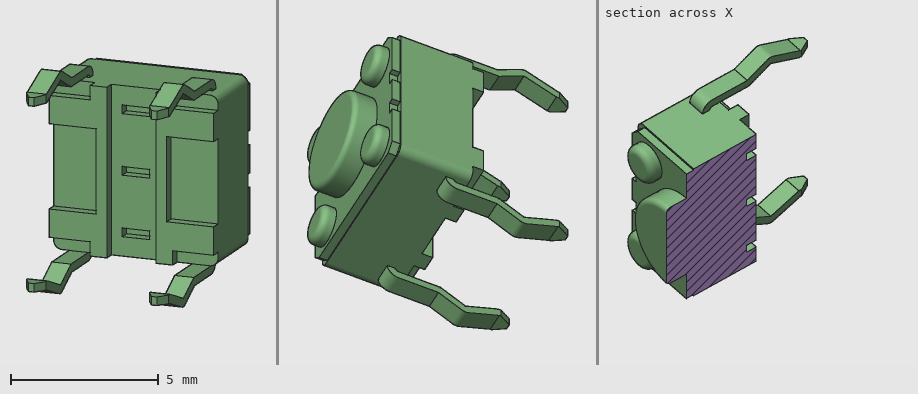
import cadquery as cq
import math


body_size = 6.0
body_depth = 3.12
body_corner_radius = 0.305

recess_depth = 0.405
channel_width = 1.79
side_recess_width = 1.715
side_recess_height = 2.995
corner_recess_width = 1.5
corner_recess_height = 0.51

slot_width = 1.0
slot_height = 0.305
slot_depth = 0.4
slot_spacing = 2.16

cover_size = 5.88
cover_thickness = 0.305
cover_chamfer = 0.305
notch_height = 0.51
notch_depth = 0.2
notch_spacing = 1.5
cover_top = body_depth + cover_thickness

overall_depth = 7.8
lead_reach = 3.5
button_diameter = 3.6
button_height = overall_depth - lead_reach - cover_top
button_fillet = 0.195
boss_diameter = 1.42
boss_height = 0.48
boss_fillet = 0.25
boss_offset = 2.03

lead_width = 0.7
lead_thickness = 0.305
lead_offset = 2.24
lead_inner_z = 3.11
lead_root_y = 0.79
root_inner_radius = 0.13
root_embed = 0.155
bend_y = -0.78
crest_y = -1.72
crest_inner_z = overall_depth / 2 - lead_thickness
foot_y = -2.94
foot_inner_z = 3.135
tip_width = 0.2
tip_length = 0.445


def block(width, depth, height, x, y, z):
    """Box centred on x and z, running from y toward +Y."""
    return cq.Workplane("XY").box(width, depth, height).translate((x, y + depth / 2, z))


def pin(diameter, height, fillet, x, z):
    """Round post on the cover plate with a rounded rim."""
    post = cq.Workplane("XZ").circle(diameter / 2).extrude(-height)
    return post.faces(">Y").edges().fillet(fillet).translate((x, cover_top, z))


def make_body():
    body = block(body_size, body_depth, body_size, 0, 0, 0)
    body = body.edges("|Y").fillet(body_corner_radius)

    body = body.cut(block(channel_width, recess_depth, body_size, 0, 0, 0))
    for row in (-1, 0, 1):
        body = body.cut(block(slot_width, slot_depth, slot_height, 0, recess_depth, row * slot_spacing))

    side_x = (body_size - side_recess_width) / 2
    corner_x = (body_size - corner_recess_width) / 2
    corner_z = (body_size - corner_recess_height) / 2
    for side in (-1, 1):
        body = body.cut(block(side_recess_width, recess_depth, side_recess_height, side * side_x, 0, 0))
        for end in (-1, 1):
            corner = block(corner_recess_width, recess_depth, corner_recess_height,
                           side * corner_x, 0, end * corner_z)
            body = body.cut(corner)
    return body


def make_cover():
    cover = block(cover_size, cover_thickness, cover_size, 0, body_depth, 0)
    cover = cover.edges("|Y").chamfer(cover_chamfer)
    notch_x = (cover_size - notch_depth) / 2
    for side in (-1, 1):
        for end in (-1, 1):
            notch = block(notch_depth, cover_thickness, notch_height,
                          side * notch_x, body_depth, end * notch_spacing / 2)
            cover = cover.cut(notch)
    return cover


def slope(start, end):
    """Angle of the line from start to end, measured as it runs toward -Y."""
    return math.atan2(end[1] - start[1], start[0] - end[0])


def on_outer_face(point, angle_before, angle_after):
    """Mitred point on the outer lead face opposite a bend on the inner face."""
    middle = (angle_before + angle_after) / 2
    reach = lead_thickness / math.cos((angle_after - angle_before) / 2)
    return (point[0] + reach * math.sin(middle), point[1] + reach * math.cos(middle))


def crest_point(angle):
    """Point on the rounded outer crest, with the angle measured from +Z toward +Y."""
    return (crest_y + lead_thickness * math.sin(angle), crest_inner_z + lead_thickness * math.cos(angle))


def make_lead():
    """Lead on the +Z side, centred on X = 0."""
    bend = (bend_y, lead_inner_z)
    crest = (crest_y, crest_inner_z)
    foot = (foot_y, foot_inner_z)
    tip = (-lead_reach, lead_inner_z)
    rise = slope(bend, crest)
    fall = slope(crest, foot)
    tip_slope = slope(foot, tip)

    root_outer_radius = root_inner_radius + lead_thickness
    root_center_z = lead_inner_z - root_inner_radius
    root_end_z = body_size / 2 - root_embed
    lead_outer_z = lead_inner_z + lead_thickness
    root_inner_y = lead_root_y + root_inner_radius
    root_outer_y = lead_root_y + root_outer_radius
    diagonal = math.sqrt(0.5)

    def root_middle(radius):
        return (lead_root_y + radius * diagonal, root_center_z + radius * diagonal)

    profile = (
        cq.Workplane("YZ")
        .moveTo(root_inner_y, root_end_z)
        .lineTo(root_inner_y, root_center_z)
        .threePointArc(root_middle(root_inner_radius), (lead_root_y, lead_inner_z))
        .lineTo(*bend)
        .lineTo(*crest)
        .lineTo(*foot)
        .lineTo(*tip)
        .lineTo(-lead_reach, lead_inner_z + lead_thickness / math.cos(tip_slope))
        .lineTo(*on_outer_face(foot, fall, tip_slope))
        .lineTo(*crest_point(fall))
        .threePointArc(crest_point(0), crest_point(rise))
        .lineTo(*on_outer_face(bend, 0, rise))
        .lineTo(lead_root_y, lead_outer_z)
        .threePointArc(root_middle(root_outer_radius), (root_outer_y, root_center_z))
        .lineTo(root_outer_y, root_end_z)
        .close()
    )
    strip = profile.extrude(lead_width / 2, both=True)

    taper_y = tip_length - lead_reach
    outline = (
        cq.Workplane("XY")
        .polyline([
            (-lead_width / 2, root_outer_y),
            (-lead_width / 2, taper_y),
            (-tip_width / 2, -lead_reach),
            (tip_width / 2, -lead_reach),
            (lead_width / 2, taper_y),
            (lead_width / 2, root_outer_y),
        ])
        .close()
        .extrude(overall_depth)
    )
    return strip.intersect(outline)


result = make_body().union(make_cover())
result = result.union(pin(button_diameter, button_height, button_fillet, 0, 0))

upper_lead = make_lead()
lower_lead = upper_lead.mirror("XY")
for side in (-1, 1):
    for end in (-1, 1):
        boss = pin(boss_diameter, boss_height, boss_fillet, side * boss_offset, end * boss_offset)
        result = result.union(boss)
    for lead in (upper_lead, lower_lead):
        result = result.union(lead.translate((side * lead_offset, 0, 0)))